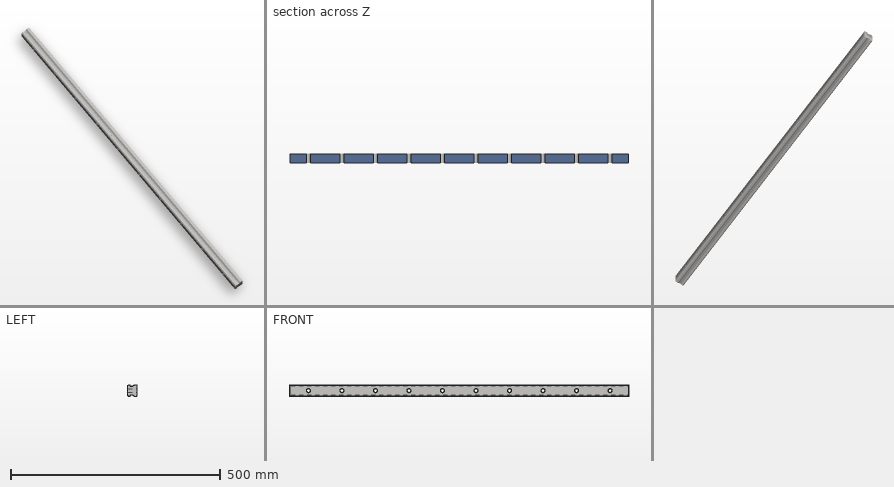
import cadquery as cq

rail_length = 810
rail_depth = 23
rail_width = 28

foot_depth = 6.7
foot_chamfer = 1.5

groove_inset = 3.3
groove_floor_start = 10.3
ball_track_radius = 1.9

head_depth = 6.3
head_lip_chamfer = 1
corner_bevel = 2
edge_bevel_depth = 0.7
edge_bevel_width = 1

hole_count = 10
hole_pitch = 80
hole_diameter = 9


def half_section():
    """Upper half of the cross-section, with Y to the right and Z up, closed along Z = 0."""
    half_width = rail_width / 2
    floor_z = half_width - groove_inset
    head_start = rail_depth - head_depth
    corner_y = rail_depth - edge_bevel_depth
    corner_z = half_width - corner_bevel
    return (
        cq.Workplane("YZ")
        .lineTo(0, half_width - foot_chamfer)
        .lineTo(foot_chamfer, half_width)
        .lineTo(foot_depth, half_width)
        .lineTo(groove_floor_start, floor_z)
        .lineTo(head_start - ball_track_radius, floor_z)
        .radiusArc((head_start, floor_z + ball_track_radius), -ball_track_radius)
        .lineTo(head_start, half_width - head_lip_chamfer)
        .lineTo(head_start + head_lip_chamfer, half_width)
        .lineTo(corner_y - corner_bevel, half_width)
        .lineTo(corner_y, corner_z)
        .lineTo(rail_depth, corner_z - edge_bevel_width)
        .lineTo(rail_depth, 0)
        .close()
    )


def rail_body():
    """Extrude the half section and mirror it, which gives a groove along both sides."""
    upper_half = half_section().extrude(rail_length)
    return upper_half.union(upper_half.mirror("XY")).clean()


def mounting_holes():
    """Plain through holes along Y, centred on the rail length."""
    first_hole = (rail_length - (hole_count - 1) * hole_pitch) / 2
    centres = [(first_hole + i * hole_pitch, 0) for i in range(hole_count)]
    pins = cq.Workplane("XZ").pushPoints(centres).circle(hole_diameter / 2)
    return pins.extrude(-rail_depth)


result = rail_body().cut(mounting_holes())